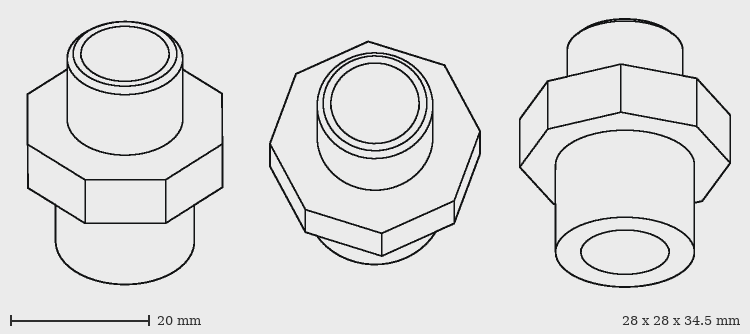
import cadquery as cq

total_height = 34.5
socket_height = 14.5
socket_diameter = 20.0
collar_height = 8.0
collar_across_flats = 28.0
collar_sides = 8
spigot_diameter = 16.65
spigot_chamfer = 0.85
bore_diameter = 12.7

spigot_base = socket_height + collar_height
spigot_height = total_height - spigot_base


def cylinder(diameter, height, base):
    """Upright cylinder on the Z axis, starting at height base."""
    return cq.Workplane("XY").workplane(offset=base).circle(diameter / 2).extrude(height)


socket = cylinder(socket_diameter, socket_height, 0)

collar = (
    cq.Workplane("XY")
    .workplane(offset=socket_height)
    .polygon(collar_sides, collar_across_flats, circumscribed=True)
    .extrude(collar_height)
)

spigot = cylinder(spigot_diameter, spigot_height, spigot_base).faces(">Z").chamfer(spigot_chamfer)

bore = cylinder(bore_diameter, total_height, 0)

result = socket.union(collar).union(spigot).cut(bore)